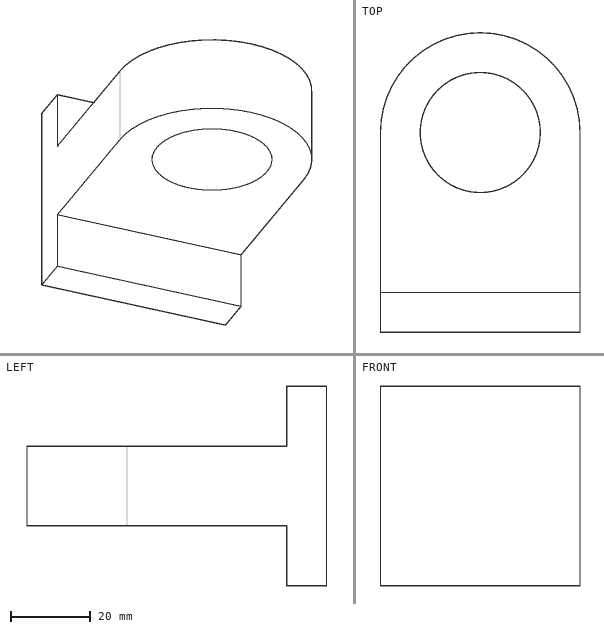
import cadquery as cq

width = 50.0
base_height = 50.0
base_thickness = 10.0
overall_length = 75.0
lug_thickness = 20.0
bore_diameter = 30.0

lug_radius = width / 2
bore_center_y = overall_length - lug_radius


def base_plate():
    """Square mounting plate with its outer face on the plane Y = 0."""
    return cq.Workplane("XY").box(
        width, base_thickness, base_height, centered=(True, False, True)
    )


def lug():
    """Flat lug at mid height, with a full-round end concentric with the bore."""
    return (
        cq.Workplane("XY")
        .workplane(offset=-lug_thickness / 2)
        .moveTo(-lug_radius, 0)
        .lineTo(lug_radius, 0)
        .lineTo(lug_radius, bore_center_y)
        .threePointArc((0, overall_length), (-lug_radius, bore_center_y))
        .close()
        .extrude(lug_thickness)
    )


def bore():
    """Cylinder that cuts the through hole in the lug."""
    return (
        cq.Workplane("XY")
        .workplane(offset=-lug_thickness / 2)
        .center(0, bore_center_y)
        .circle(bore_diameter / 2)
        .extrude(lug_thickness)
    )


result = base_plate().union(lug()).cut(bore())